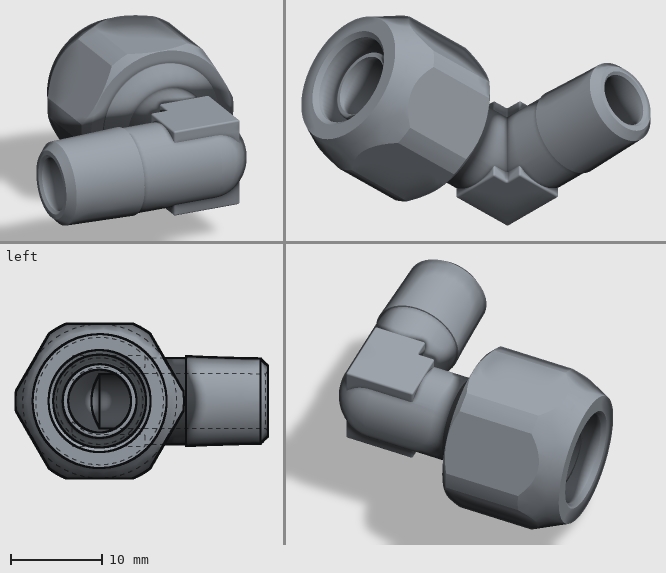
import cadquery as cq
import math


leg_radius = 4.75

pad_inner_reach = 5.0
pad_outer_reach = 3.0
pad_notch = 3.0
pad_half_height = 5.0
pad_edge_radius = 0.2

nut_front_x = -24.5
nut_length = 13.5
nut_across_flats = 17.0
nut_turned_radius = 9.25
nut_face_radius = 7.35
nut_front_angle = 25.0
nut_back_chamfer = 0.8
nut_back_x = nut_front_x + nut_length

collar_radius = 7.0
collar_width = 0.2
collar_cone_length = 1.45

socket_radius = 5.1
socket_mouth_chamfer = 0.5
socket_depth = 7.5
spigot_recess = 2.1
spigot_radius = 4.05
spigot_tip_fillet = 0.25
spigot_root_fillet = 0.3

male_end_y = -18.5
male_length = 9.0
male_large_radius = 4.95
male_taper = 1 / 16
male_chamfer = 0.85
male_start_y = male_end_y + male_length

tube_bore_radius = 3.45
male_bore_radius = 3.0
male_bore_chamfer = 0.3
drill_point_angle = 120.0


def turned_about_x(points):
    """Revolve an (x, radius) profile about the tube leg axis."""
    return cq.Workplane("XY").polyline(points).close().revolve(360, (0, 0, 0), (1, 0, 0))


def turned_about_y(points):
    """Revolve a (radius, y) profile about the male leg axis."""
    return cq.Workplane("XY").polyline(points).close().revolve(360, (0, 0, 0), (0, 1, 0))


def drill_point_length(radius):
    return radius / math.tan(math.radians(drill_point_angle / 2))


def make_elbow():
    """Two round legs joined by a ball at the bend."""
    tube_leg = cq.Workplane("YZ").circle(leg_radius).extrude(nut_back_x)
    male_leg = cq.Workplane("XZ").circle(leg_radius).extrude(-male_start_y)
    bend = cq.Workplane("XY").sphere(leg_radius)
    return tube_leg.union(male_leg).union(bend)


def make_pads():
    outline = [
        (pad_outer_reach, pad_outer_reach),
        (-pad_inner_reach, pad_outer_reach),
        (-pad_inner_reach, -pad_notch),
        (-pad_notch, -pad_notch),
        (-pad_notch, -pad_inner_reach),
        (pad_outer_reach, -pad_inner_reach),
    ]
    block = cq.Workplane("XY").polyline(outline).close().extrude(pad_half_height, both=True)
    return block.edges("|Z").fillet(pad_edge_radius).faces("|Z").edges().fillet(pad_edge_radius)


def make_nut():
    """Hexagon turned to a cone in front, a cylinder and a back chamfer."""
    flat_up_turn = 30
    hexagon = (
        cq.Workplane("YZ", origin=(nut_front_x, 0, 0))
        .polygon(6, nut_across_flats, circumscribed=True)
        .extrude(nut_length)
        .rotate((0, 0, 0), (1, 0, 0), flat_up_turn)
    )
    front_cone_length = (nut_turned_radius - nut_face_radius) / math.tan(math.radians(nut_front_angle))
    envelope = turned_about_x([
        (nut_front_x, 0),
        (nut_front_x, nut_face_radius),
        (nut_front_x + front_cone_length, nut_turned_radius),
        (nut_back_x - nut_back_chamfer, nut_turned_radius),
        (nut_back_x, nut_turned_radius - nut_back_chamfer),
        (nut_back_x, 0),
    ])
    return hexagon.intersect(envelope)


def make_collar():
    cone_start_x = nut_back_x + collar_width
    cone_end_x = cone_start_x + collar_cone_length
    return turned_about_x([
        (nut_back_x, 0),
        (nut_back_x, collar_radius),
        (cone_start_x, collar_radius),
        (cone_end_x, leg_radius),
        (cone_end_x, 0),
    ])


def make_male_end():
    small_radius = male_large_radius - male_taper / 2 * (male_length - male_chamfer)
    return turned_about_y([
        (0, male_start_y),
        (male_large_radius, male_start_y),
        (small_radius, male_end_y + male_chamfer),
        (small_radius - male_chamfer, male_end_y),
        (0, male_end_y),
    ])


def make_socket():
    """Space around and in front of the spigot, open at the nut face."""
    spigot_face_x = nut_front_x + spigot_recess
    bottom_x = nut_front_x + socket_depth
    profile = (
        cq.Workplane("XY")
        .moveTo(nut_front_x, 0)
        .lineTo(nut_front_x, socket_radius + socket_mouth_chamfer)
        .lineTo(nut_front_x + socket_mouth_chamfer, socket_radius)
        .lineTo(bottom_x, socket_radius)
        .lineTo(bottom_x, spigot_radius + spigot_root_fillet)
        .radiusArc((bottom_x - spigot_root_fillet, spigot_radius), spigot_root_fillet)
        .lineTo(spigot_face_x + spigot_tip_fillet, spigot_radius)
        .radiusArc((spigot_face_x, spigot_radius - spigot_tip_fillet), -spigot_tip_fillet)
        .lineTo(spigot_face_x, 0)
        .close()
    )
    return profile.revolve(360, (0, 0, 0), (1, 0, 0))


def make_tube_bore():
    return turned_about_x([
        (nut_front_x, 0),
        (nut_front_x, tube_bore_radius),
        (0, tube_bore_radius),
        (drill_point_length(tube_bore_radius), 0),
    ])


def make_male_bore():
    return turned_about_y([
        (0, male_end_y),
        (male_bore_radius + male_bore_chamfer, male_end_y),
        (male_bore_radius, male_end_y + male_bore_chamfer),
        (male_bore_radius, 0),
        (0, drill_point_length(male_bore_radius)),
    ])


fitting = make_elbow().union(make_pads()).union(make_nut()).union(make_collar()).union(make_male_end())
result = fitting.cut(make_socket()).cut(make_tube_bore()).cut(make_male_bore())